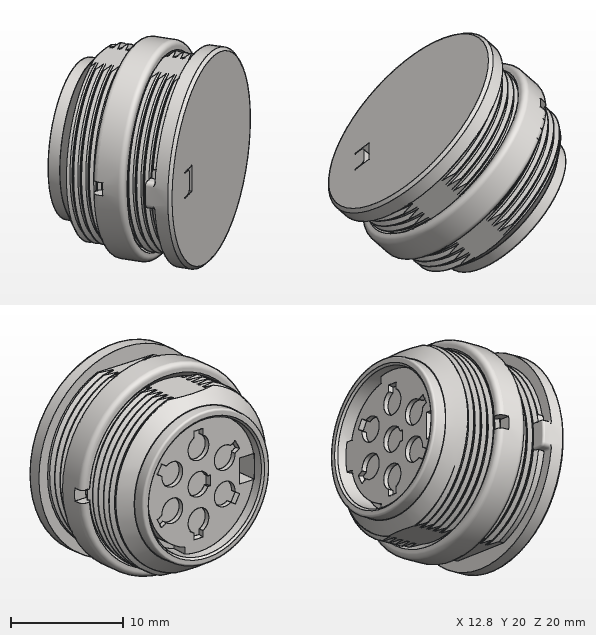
import cadquery as cq
import math

length = 12.8

nose_radius = 14.66 / 2
nose_length = 1.2
nose_edge_round = 0.2
bore_radius = 13.1 / 2
bore_floor_radius = 6.45
bore_edge_chamfer = 0.2
cone_start_radius = 7.38
cone_angle = 51.5
flat_height = 8.4

thread_radius = 18.0 / 2
thread_root_radius = 8.59
thread_pitch = 0.75
thread_start = 2.0
thread_turns = 11.963
root_flat = 0.2
flank_angle = 30.0
groove_overshoot = 0.08

flange_radius = 20.0 / 2
flange_thickness = 1.55
flange_start = length - flange_thickness
flange_chamfer = 0.3

tab_length = 0.95
tab_half_width = 1.28
tab_side_round = 0.4
tab_front_round = 0.2
tab_root_round = 0.15
plate_margin = 1.0

nut_start = 5.3
nut_width = 3.0
nut_radius = 20.0 / 2
nut_round = 0.5
nut_bore_radius = 8.57
nut_mouth_radius = 18.3 / 2
nut_slot_width = 1.25
nut_slot_depth = 1.0

insert_face = 1.1
contact_circle_radius = 3.5
contact_count = 6
contact_radius = 1.2
contact_depth = 0.5
key_width = 1.0
key_reach = 1.72
key_taper = 0.1
center_key_reach = 1.4

gap_inner_radius = 5.87
gap_depth = 1.5
gap_side = 1.58
gap_half_space = 1.41

window_inner = 4.78
window_outer = 6.5
window_half_width = 1.25
tongue_inner = 5.4
tongue_half_width = 1.17
tongue_start = flange_start - tab_length
tongue_corner_round = 0.45
tongue_bend_radius = window_outer - tongue_inner


def box(x_range, y_range, z_range):
    """Box given by its limits along X, Y and Z."""
    sizes = [high - low for low, high in (x_range, y_range, z_range)]
    corner = (x_range[0], y_range[0], z_range[0])
    return cq.Workplane("XY").box(*sizes, centered=False).translate(corner)


def disc(x_start, thickness, radius):
    """Round disc about the X axis."""
    return cq.Workplane("YZ", origin=(x_start, 0, 0)).circle(radius).extrude(thickness)


def make_shell_blank():
    """Nose, cone and plain barrel, revolved about X."""
    cone_length = (thread_radius - cone_start_radius) / math.tan(math.radians(cone_angle))
    return (
        cq.Workplane("XY")
        .moveTo(0, 0)
        .lineTo(0, nose_radius - nose_edge_round)
        .radiusArc((nose_edge_round, nose_radius), nose_edge_round)
        .lineTo(nose_length, nose_radius)
        .lineTo(nose_length, cone_start_radius)
        .lineTo(nose_length + cone_length, thread_radius)
        .lineTo(length, thread_radius)
        .lineTo(length, 0)
        .close()
        .revolve(360, (0, 0, 0), (1, 0, 0))
    )


def make_thread_groove():
    """Trapezoidal helical groove cutter that starts on the -Y side and stops just above the tab."""
    outer_radius = thread_radius + groove_overshoot
    root_half = root_flat / 2
    mouth_half = root_half + (outer_radius - thread_root_radius) * math.tan(math.radians(flank_angle))
    helix = cq.Wire.makeHelix(thread_pitch, thread_pitch * thread_turns, thread_root_radius)
    groove = (
        cq.Workplane("XZ")
        .polyline([
            (thread_root_radius, -root_half),
            (outer_radius, -mouth_half),
            (outer_radius, mouth_half),
            (thread_root_radius, root_half),
        ])
        .close()
        .sweep(cq.Workplane(helix), isFrenet=True)
    )
    along_x = groove.rotate((0, 0, 0), (0, 1, 0), 90).rotate((0, 0, 0), (1, 0, 0), -90)
    return along_x.translate((thread_start, 0, 0))


def make_flat_limits():
    """Slab between the top and bottom flats, wide enough for the whole thread."""
    return box((0, length), (-thread_radius, thread_radius), (-flat_height, flat_height))


def make_flange():
    """Flange with its locating tab, which is flush with the rim and stands on the barrel."""
    tab_start = flange_start - tab_length
    plate_radius = flange_radius + plate_margin
    tab = box(
        (tab_start, flange_start),
        (-plate_radius, 0),
        (-tab_half_width, tab_half_width),
    )
    tab = tab.intersect(disc(tab_start, tab_length, flange_radius))
    tab = tab.edges("|X").edges("<Y").fillet(tab_side_round)
    tab = tab.faces("<X").edges("not(>Y)").fillet(tab_front_round)

    plate = disc(flange_start, flange_thickness, plate_radius).union(tab)
    root_edges = plate.edges(cq.selectors.BoxSelector(
        (flange_start - tab_root_round, -plate_radius, -tab_half_width - tab_root_round),
        (flange_start + tab_root_round, -flat_height / 2, tab_half_width + tab_root_round),
    ))
    plate = root_edges.fillet(tab_root_round)
    flange = disc(tab_start, length - tab_start, flange_radius)
    flange = flange.faces(">X").edges().chamfer(flange_chamfer)
    return flange.intersect(plate)


def make_nut():
    """Rounded ring nut with chamfered bore mouths and two slots in its front face."""
    nut = disc(nut_start, nut_width, nut_radius).cut(disc(nut_start, nut_width, nut_bore_radius))
    inner_edges = nut.edges(cq.selectors.RadiusNthSelector(0))
    nut = inner_edges.chamfer(nut_mouth_radius - nut_bore_radius)
    outer_edges = nut.edges(cq.selectors.RadiusNthSelector(-1))
    nut = outer_edges.fillet(nut_round)
    slots = box(
        (nut_start, nut_start + nut_slot_depth),
        (-nut_radius, nut_radius),
        (-nut_slot_width / 2, nut_slot_width / 2),
    )
    return nut.cut(slots)


def make_bore():
    """Slightly tapered bore of the shell down to the gap floor, with a chamfered mouth."""
    gap_floor = insert_face + gap_depth
    return (
        cq.Workplane("XY")
        .polyline([
            (0, 0),
            (0, bore_radius + bore_edge_chamfer),
            (bore_edge_chamfer, bore_radius),
            (gap_floor, bore_floor_radius),
            (gap_floor, 0),
        ])
        .close()
        .revolve(360, (0, 0, 0), (1, 0, 0))
    )


def make_contact(distance, key_end, angle):
    """Contact hole whose key points away from the axis; angle is measured from +Y toward +Z."""
    floor = insert_face + contact_depth
    hole = disc(insert_face, contact_depth, contact_radius)
    key = (
        cq.Workplane("XY")
        .polyline([
            (insert_face, 0),
            (insert_face, key_end),
            (floor, key_end - key_taper),
            (floor, 0),
        ])
        .close()
        .extrude(key_width / 2, both=True)
    )
    return hole.union(key).translate((0, distance, 0)).rotate((0, 0, 0), (1, 0, 0), angle)


def make_insert():
    """Plug that fills the bore below the insert face, apart from the two gaps beside it."""
    plug = make_bore().intersect(disc(insert_face, gap_depth, bore_radius))
    ring = plug.cut(disc(insert_face, gap_depth, gap_inner_radius))
    upper_gap = ring.intersect(box(
        (insert_face, insert_face + gap_depth),
        (gap_side, bore_radius),
        (gap_half_space, bore_radius),
    ))
    return plug.cut(upper_gap).cut(upper_gap.mirror("XY"))


def make_window():
    """Rectangular passage from the insert face to the far end."""
    return box(
        (insert_face, length),
        (-window_outer, -window_inner),
        (-window_half_width, window_half_width),
    )


def make_tongue():
    """Tongue on the outer side of the window with a rounded front and rounded long edges."""
    tongue = box(
        (tongue_start, length),
        (-window_outer - tongue_corner_round, -tongue_inner),
        (-tongue_half_width, tongue_half_width),
    )
    bent = tongue.edges("<X and >Y").fillet(tongue_bend_radius)
    rounded = tongue.edges("|X and >Y").fillet(tongue_corner_round)
    return bent.intersect(rounded)


result = make_shell_blank().cut(make_thread_groove()).intersect(make_flat_limits())
result = result.union(make_flange()).union(make_nut())
result = result.cut(make_bore().cut(make_insert())).cut(make_window())

contact_step = 360 / contact_count
for index in range(contact_count):
    contact_angle = 90 + index * contact_step
    result = result.cut(make_contact(contact_circle_radius, key_reach, contact_angle))
result = result.cut(make_contact(0, center_key_reach, 180))

result = result.union(make_tongue())